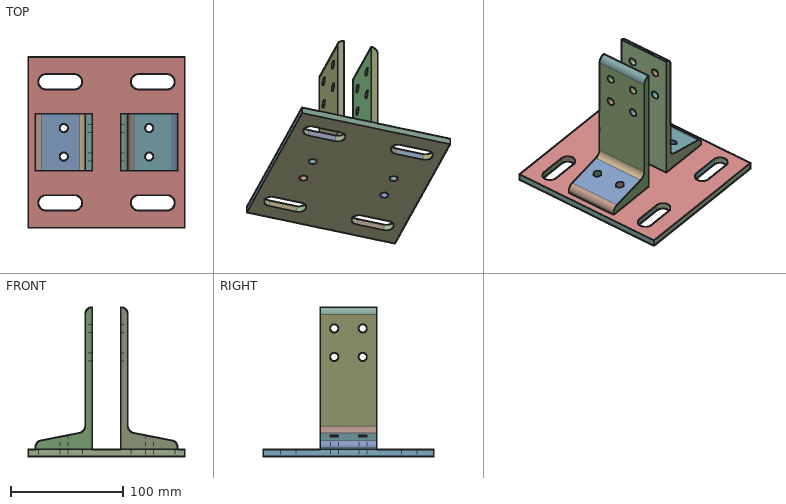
import cadquery as cq

PLATE_LENGTH = 139.7
PLATE_WIDTH = 152.4
PLATE_THICKNESS = 6.35

SLOT_WIDTH = 13.5
SLOT_TRAVEL = 25.4
SLOT_LENGTH = SLOT_TRAVEL + SLOT_WIDTH
SLOT_PITCH_X = 82.55
SLOT_PITCH_Y = 107.95

BRACKET_GAP = 25.4
BRACKET_HEIGHT = 127.0
BRACKET_WIDTH = 50.8
FOOT_LENGTH = 50.8
WEB_THICKNESS = 6.35
FOOT_TIP_HEIGHT = 7.14
FOOT_ROOT_HEIGHT = 15.875
ROUND_RADIUS = 6.35

HOLE_DIAMETER = 7.14
HOLE_PITCH = 25.4
WEB_HOLE_DROP = 19.05

INNER_X = BRACKET_GAP / 2
WEB_OUTER_X = INNER_X + WEB_THICKNESS
FOOT_TIP_X = INNER_X + FOOT_LENGTH
FOOT_HOLE_X = INNER_X + FOOT_LENGTH / 2
BRACKET_TOP_Z = PLATE_THICKNESS + BRACKET_HEIGHT
WEB_HOLE_CENTRE_Z = BRACKET_TOP_Z - WEB_HOLE_DROP - HOLE_PITCH / 2


def make_foot_hole_cutter():
    """Vertical pins through both bracket feet and the plate under them."""
    return (
        cq.Workplane("XY")
        .rarray(2 * FOOT_HOLE_X, HOLE_PITCH, 2, 2)
        .circle(HOLE_DIAMETER / 2)
        .extrude(BRACKET_TOP_Z)
    )


def make_web_hole_cutter():
    """Horizontal pins along X through both upright webs."""
    return (
        cq.Workplane("YZ")
        .center(0, WEB_HOLE_CENTRE_Z)
        .rarray(HOLE_PITCH, HOLE_PITCH, 2, 2)
        .circle(HOLE_DIAMETER / 2)
        .extrude(FOOT_TIP_X, both=True)
    )


def make_plate():
    """Flat plate with four slots along X and the bolt holes of the feet."""
    slots = (
        cq.Workplane("XY")
        .rarray(SLOT_PITCH_X, SLOT_PITCH_Y, 2, 2)
        .slot2D(SLOT_LENGTH, SLOT_WIDTH)
        .extrude(PLATE_THICKNESS)
    )
    blank = cq.Workplane("XY").box(PLATE_LENGTH, PLATE_WIDTH, PLATE_THICKNESS, centered=(True, True, False))
    return blank.cut(slots).cut(make_foot_hole_cutter())


def make_bracket(side):
    """Angle bracket with a tapered foot; side is +1 or -1, the direction of its foot along X."""
    profile = [
        (INNER_X, PLATE_THICKNESS),
        (FOOT_TIP_X, PLATE_THICKNESS),
        (FOOT_TIP_X, PLATE_THICKNESS + FOOT_TIP_HEIGHT),
        (WEB_OUTER_X, PLATE_THICKNESS + FOOT_ROOT_HEIGHT),
        (WEB_OUTER_X, BRACKET_TOP_Z - ROUND_RADIUS),
    ]
    angle = (
        cq.Workplane("XZ")
        .polyline(profile)
        .radiusArc((WEB_OUTER_X - ROUND_RADIUS, BRACKET_TOP_Z), -ROUND_RADIUS)
        .close()
        .extrude(BRACKET_WIDTH / 2, both=True)
    )
    foot_tip = cq.selectors.NearestToPointSelector((FOOT_TIP_X, 0, PLATE_THICKNESS + FOOT_TIP_HEIGHT))
    foot_root = cq.selectors.NearestToPointSelector((WEB_OUTER_X, 0, PLATE_THICKNESS + FOOT_ROOT_HEIGHT))
    angle = angle.edges(foot_tip + foot_root).fillet(ROUND_RADIUS)
    if side < 0:
        angle = angle.mirror("YZ")
    return angle.cut(make_foot_hole_cutter()).cut(make_web_hole_cutter())


plate = make_plate()
brackets = [make_bracket(side) for side in (-1, 1)]

result = cq.Compound.makeCompound([plate.val(), *[bracket.val() for bracket in brackets]])